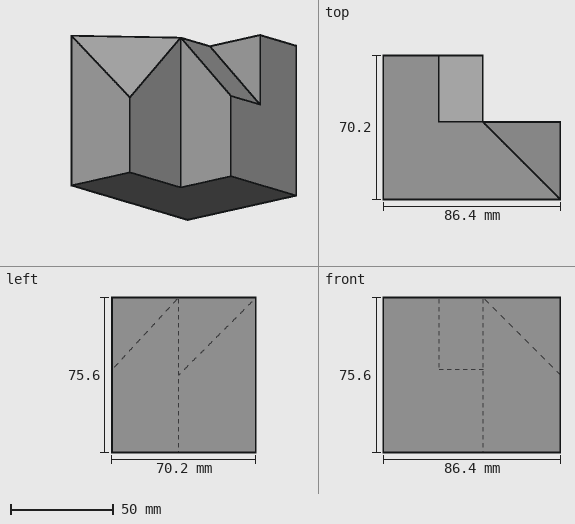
import cadquery as cq

UNIT = 5.397

LENGTH = 16 * UNIT
DEPTH = 13 * UNIT
HEIGHT = 14 * UNIT

FRONT_ARM_WIDTH = 7 * UNIT
LEFT_ARM_WIDTH = 9 * UNIT

RAMP_WIDTH = 4 * UNIT
RAMP_START = LEFT_ARM_WIDTH - RAMP_WIDTH
RAMP_DROP = 6.5 * UNIT

CORNER_DROP = 7 * UNIT


def l_block():
    """Full-height block with an L-shaped plan."""
    outline = [
        (0, 0),
        (LENGTH, 0),
        (LENGTH, FRONT_ARM_WIDTH),
        (LEFT_ARM_WIDTH, FRONT_ARM_WIDTH),
        (LEFT_ARM_WIDTH, DEPTH),
        (0, DEPTH),
    ]
    return cq.Workplane("XY").polyline(outline).close().extrude(HEIGHT)


def ramp_cut():
    """Wedge above the ramp, which falls towards +Y from the top face of the front arm."""
    profile = [
        (FRONT_ARM_WIDTH, HEIGHT),
        (DEPTH, HEIGHT),
        (DEPTH, HEIGHT - RAMP_DROP),
    ]
    side_plane = cq.Workplane("YZ").workplane(offset=RAMP_START)
    return side_plane.polyline(profile).close().extrude(RAMP_WIDTH)


def corner_cut():
    """Tetrahedron above the slanted face at the back right corner of the front arm."""
    right_end = cq.Vector(LENGTH, 0, HEIGHT)
    inner_corner = cq.Vector(LEFT_ARM_WIDTH, FRONT_ARM_WIDTH, HEIGHT)
    back_corner = cq.Vector(LENGTH, FRONT_ARM_WIDTH, HEIGHT)
    low_point = cq.Vector(LENGTH, FRONT_ARM_WIDTH, HEIGHT - CORNER_DROP)
    triangles = [
        (right_end, inner_corner, back_corner),
        (right_end, low_point, inner_corner),
        (inner_corner, low_point, back_corner),
        (back_corner, low_point, right_end),
    ]
    faces = []
    for corners in triangles:
        edge_loop = cq.Wire.makePolygon(corners, close=True)
        faces.append(cq.Face.makeFromWires(edge_loop))
    return cq.Workplane(cq.Solid.makeSolid(cq.Shell.makeShell(faces)))


result = l_block().cut(ramp_cut()).cut(corner_cut())